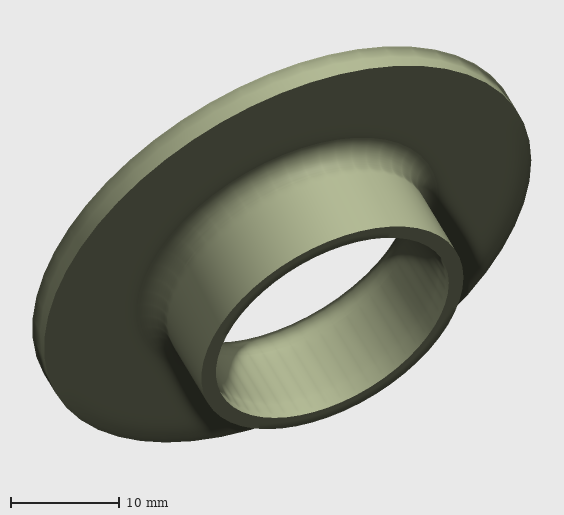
import cadquery as cq

flange_diameter = 50.0
flange_thickness = 2.5
collar_diameter = 26.9
bore_diameter = 23.9
total_length = 12.0
mouth_radius = 4.0
neck_radius = 2.0
match_tolerance = 0.005


def make_flange():
    return cq.Workplane("YZ").circle(flange_diameter / 2).extrude(flange_thickness)


def make_collar():
    return cq.Workplane("YZ").circle(collar_diameter / 2).extrude(total_length)


def make_bore():
    return cq.Workplane("YZ").circle(bore_diameter / 2).extrude(total_length)


def on_collar_root(edge):
    """True for the circle where the collar leaves the back of the flange."""
    return (
        edge.geomType() == "CIRCLE"
        and abs(edge.Center().x - flange_thickness) < match_tolerance
        and abs(edge.radius() - collar_diameter / 2) < match_tolerance
    )


body = make_flange().union(make_collar())
collar_root = [edge for edge in body.edges().vals() if on_collar_root(edge)]
body = body.newObject(collar_root).fillet(neck_radius)

body = body.cut(make_bore())
result = body.faces("<X").edges(cq.selectors.RadiusNthSelector(0)).fillet(mouth_radius)